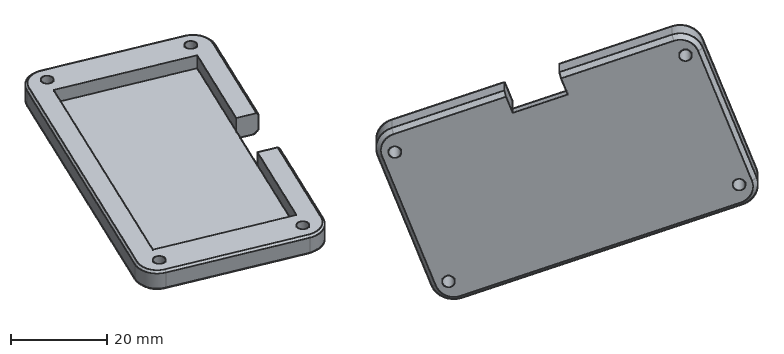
import cadquery as cq

length = 72.0
width = 42.0
height = 5.5
corner_radius = 5.0
bottom_chamfer = 1.0
top_chamfer = 0.5

pocket_length = 57.0
pocket_width = 32.0
floor_thickness = 2.0
notch_width = 12.2

hole_diameter = 2.7
hole_spacing_x = 64.4
hole_spacing_y = pocket_width


def make_body():
    """Rounded plate standing on Z = 0 with chamfered rims."""
    plate = cq.Workplane("XY").box(length, width, height, centered=(True, True, False))
    plate = plate.edges("|Z").fillet(corner_radius)
    plate = plate.faces("<Z").edges().chamfer(bottom_chamfer)
    return plate.faces(">Z").edges().chamfer(top_chamfer)


def make_pocket():
    """Rectangular recess open at the top."""
    pocket_depth = height - floor_thickness
    return (
        cq.Workplane("XY", origin=(0, 0, floor_thickness))
        .box(pocket_length, pocket_width, pocket_depth, centered=(True, True, False))
    )


def make_notch():
    """Full-height gap from the pocket out through the +Y wall."""
    wall = (width - pocket_width) / 2
    return (
        cq.Workplane("XY", origin=(0, pocket_width / 2 + wall / 2, 0))
        .box(notch_width, wall, height, centered=(True, True, False))
    )


def make_holes():
    """Four through holes, one at each corner."""
    return (
        cq.Workplane("XY")
        .rect(hole_spacing_x, hole_spacing_y, forConstruction=True)
        .vertices()
        .circle(hole_diameter / 2)
        .extrude(height)
    )


result = make_body().cut(make_pocket()).cut(make_notch()).cut(make_holes())